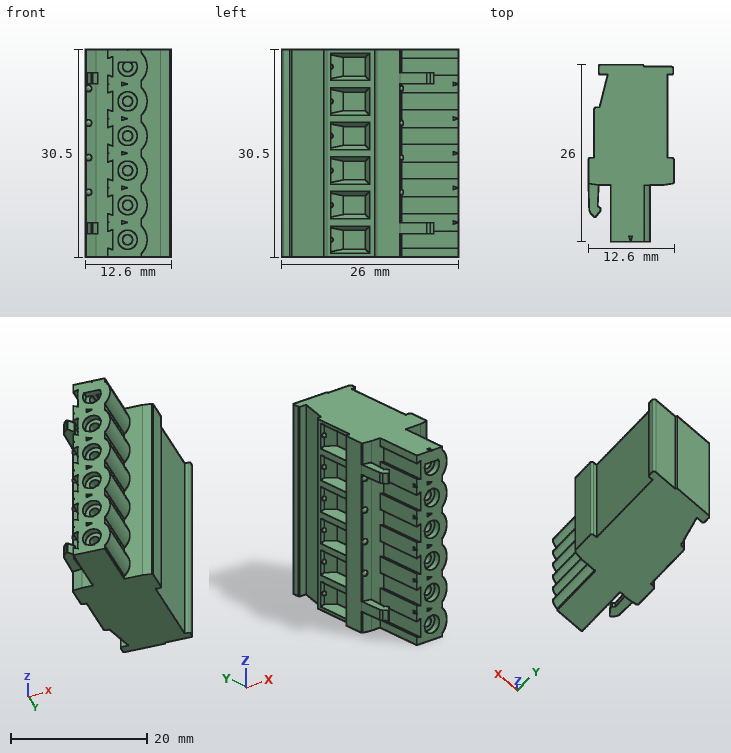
import cadquery as cq

width = 12.6
length = 26.0
height = 30.48

pole_count = 6
pitch = height / pole_count
pole_centres = [(i + 0.5) * pitch for i in range(pole_count)]
pole_borders = [(i + 1) * pitch for i in range(pole_count - 1)]

flange_front = 8.32
flange_edge = 8.7
flange_lip_x = 0.15
flange_lip_y = 8.53
flange_slope_run = 1.55
flange_back = 12.35
body_left = 0.82
body_right = 11.65
shoulder_y = 19.78
shoulder_width = 0.82
neck_left = 2.83
head_left = 1.52
head_right = 12.5
head_front = 24.55
head_step_x = 8.08
head_step = 0.25
flange_radius = 0.35
shoulder_radius = 0.4
head_edge_radius = 0.25
head_cut_width = 0.12
head_cut_length = 0.27
head_radius = 0.37

plug_left = 3.3
plug_right = 8.23
socket_x = 6.22
lobe_radius = 2.85
groove_depth = 0.73
groove_mouth = 2.47
groove_floor = 2.95
socket_radius = 1.4
socket_depth = 1.07
contact_radius = 0.73
contact_depth = 4.57
socket_flat = 0.67

arrow_length = 0.82
arrow_width = 0.5
arrow_depth = 0.12
face_arrow_x = 5.35

latch_height = 1.65
latch_edge = 3.4
latch_lean = 0.12
latch_nose_y = 4.65
latch_bend_x = 0.3
latch_bend_y = 4.2
latch_tip_left = 0.85
latch_tip_right = 1.07
latch_tip_y = 3.63
latch_hook_x = 1.8
latch_hook_front = 4.55
latch_hook_back = 4.95
latch_hook_end = 5.25
latch_arm_right = 1.4

window_front = 13.08
window_back = 18.8
window_height = 4.02
window_depth = 1.6
window_taper = 0.65
ramp_start_depth = 0.6
ramp_length = 1.9

flange_ball_radius = 0.5
window_ball_radius = 0.37
flange_ball_y = 8.6
flange_ball_offset = 1.9


def prism(points, z_bottom, z_top):
    """Closed XY outline raised between two heights."""
    return cq.Workplane("XY", origin=(0, 0, z_bottom)).polyline(points).close().extrude(z_top - z_bottom)


def ball(radius, x, y, z):
    return cq.Workplane("XY", origin=(x, y, z)).sphere(radius)


def round_upright_edges(body, corners, radius):
    """Round the Z-parallel edges that stand at the given XY corners."""
    for x, y in corners:
        body = body.edges(cq.NearestToPointSelector((x, y, height / 2))).fillet(radius)
    return body


def make_housing():
    head_back = length - head_step
    shoulder_right = body_left + shoulder_width
    outline = [
        (0, flange_edge),
        (flange_lip_x, flange_lip_y),
        (flange_slope_run, flange_front),
        (width - flange_slope_run, flange_front),
        (width - flange_lip_x, flange_lip_y),
        (width, flange_edge),
        (width, flange_back),
        (body_right, flange_back),
        (body_right, head_front),
        (head_right, head_front),
        (head_right, head_back),
        (head_step_x + head_step / 2, head_back),
        (head_step_x, length),
        (head_left, length),
        (head_left, head_front + head_cut_length),
        (head_left + head_cut_width, head_front),
        (neck_left, head_front),
        (shoulder_right, shoulder_y),
        (body_left, shoulder_y),
        (body_left, flange_back),
        (0, flange_back),
    ]
    body = prism(outline, 0, height)
    body = round_upright_edges(body, [(0, flange_back), (width, flange_back)], flange_radius)
    body = round_upright_edges(body, [(body_left, shoulder_y)], shoulder_radius)
    body = round_upright_edges(body, [(head_left, length), (head_right, head_front)], head_edge_radius)
    return round_upright_edges(body, [(head_right, head_back)], head_radius)


def make_plug():
    plug_length = flange_edge
    plug = cq.Workplane("XY").box(plug_right - plug_left, plug_length, height, centered=False)
    plug = plug.translate((plug_left, 0, 0))
    for z in pole_centres:
        lobe = cq.Workplane("XZ", origin=(socket_x, 0, z)).circle(lobe_radius).extrude(-plug_length)
        lobe_side = cq.Workplane("XY").box(lobe_radius, plug_length, pitch, centered=(False, False, True))
        plug = plug.union(lobe.intersect(lobe_side.translate((socket_x, 0, z))))
    return plug


def make_groove(z):
    """Dovetail keying groove along the plug, wider at its floor."""
    floor_x = plug_left + groove_depth
    section = [
        (plug_left, z - groove_mouth / 2),
        (floor_x, z - groove_floor / 2),
        (floor_x, z + groove_floor / 2),
        (plug_left, z + groove_mouth / 2),
    ]
    return cq.Workplane("XZ").polyline(section).close().extrude(-flange_front)


def make_socket(z):
    def bore(radius, depth):
        return cq.Workplane("XZ", origin=(socket_x, 0, z)).circle(radius).extrude(-depth)

    return bore(socket_radius, socket_depth).union(bore(contact_radius, contact_depth))


def make_socket_flat():
    """Segment of material that flattens the upper side of the top socket as a key."""
    flat_z = pole_centres[-1] + socket_flat
    block_height = socket_radius - socket_flat
    block = cq.Workplane("XY").box(2 * socket_radius, contact_depth, block_height, centered=(True, False, False))
    return make_socket(pole_centres[-1]).intersect(block.translate((socket_x, 0, flat_z)))


def make_arrows(z):
    """Arrows at a pole border: one on the mating face, one on the latch side of the plug."""
    half = arrow_width / 2
    face = (
        cq.Workplane("XZ")
        .polyline([(face_arrow_x, z - half), (face_arrow_x, z + half), (face_arrow_x + arrow_length, z)])
        .close()
        .extrude(-arrow_depth)
    )
    side = (
        cq.Workplane("YZ", origin=(plug_left, 0, 0))
        .polyline([(arrow_length, z - half), (arrow_length, z + half), (0, z)])
        .close()
        .extrude(arrow_depth)
    )
    return face.union(side)


def make_top_arrow():
    half = arrow_width / 2
    points = [(socket_x - half, arrow_length), (socket_x + half, arrow_length), (socket_x, 0)]
    return prism(points, height - arrow_depth, height)


def make_latch(z_bottom):
    """Leaning arm that starts inside the flange and ends in a pointed hook."""
    points = [
        (0, flange_back - flange_radius),
        (0, flange_edge),
        (latch_lean, latch_nose_y),
        (latch_bend_x, latch_bend_y),
        (latch_tip_left, latch_tip_y),
        (latch_tip_right, latch_tip_y),
        (latch_hook_x, latch_hook_front),
        (latch_hook_x, latch_hook_back),
        (latch_arm_right, latch_hook_end),
        (flange_slope_run, flange_front),
        (flange_slope_run, flange_back - flange_radius),
    ]
    return prism(points, z_bottom, z_bottom + latch_height)


def make_window(z):
    """Tapered window whose back wall turns into a ramp down to the floor."""
    taper_end = window_back + window_taper
    mouth_length = taper_end - window_front
    mouth_centre = (window_front + taper_end) / 2
    funnel = (
        cq.Workplane("YZ", origin=(body_left, mouth_centre, z))
        .rect(mouth_length, window_height)
        .workplane(offset=window_depth)
        .rect(mouth_length - 2 * window_taper, window_height - 2 * window_taper)
        .loft(ruled=True)
    )
    floor_x = body_left + window_depth
    section = [
        (body_left, window_front),
        (floor_x, window_front),
        (floor_x, window_back - ramp_length),
        (body_left + ramp_start_depth, window_back),
        (body_left, window_back),
    ]
    return funnel.intersect(prism(section, z - pitch / 2, z + pitch / 2))


result = make_housing().union(make_plug())
for centre in pole_centres:
    result = result.cut(make_groove(centre)).cut(make_socket(centre)).cut(make_window(centre))
    result = result.union(ball(window_ball_radius, body_left + ramp_start_depth, window_back, centre))
result = result.union(make_socket_flat())
for border in pole_borders:
    result = result.cut(make_arrows(border))
result = result.cut(make_top_arrow())

for centre in pole_centres[1:-1]:
    result = result.union(ball(flange_ball_radius, flange_ball_radius, flange_ball_y, centre + flange_ball_offset))
for latch_bottom in (latch_edge, height - latch_edge - latch_height):
    result = result.union(make_latch(latch_bottom))